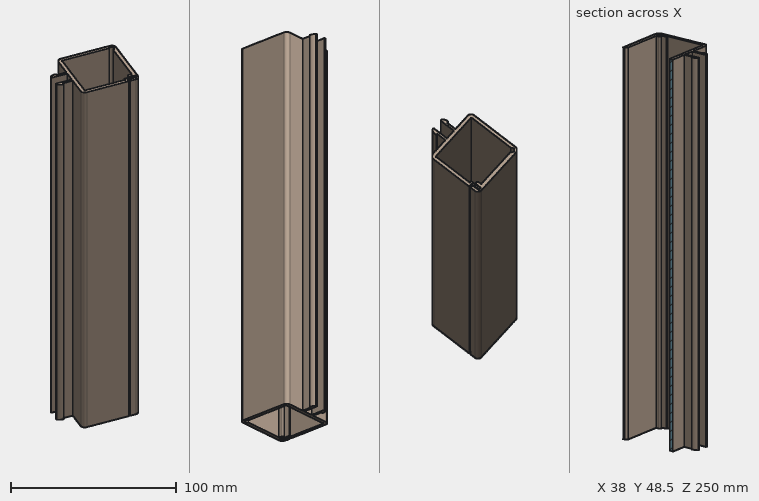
import cadquery as cq

length = 250.0
width = 38.0
fin_length = 10.5
half = width / 2
front_y = -half

side_wall = 2.2
front_wall = 2.5
lid_wall = 2.8
corner_radius = 2.8

hinge_wall = 1.5
hinge_relief_radius = 1.5

clearance = 0.38
tongue_thickness = 1.2
tongue_root_y = 10.2
tongue_top_y = 17.2
lower_wall_top_y = 11.8
lid_arm_end_y = 12.8
catch_width = 2.0
catch_end_y = 13.2
catch_tip_radius = 0.88

fin_inner_x = 3.2
fin_thickness = 1.5
barb_projection = 1.0
barb_start = 6.5
barb_setback = 0.2
fin_tip_width = 1.2

inner_x = half - side_wall
inner_front_y = front_y + front_wall
inner_back_y = half - lid_wall
tongue_inner_x = inner_x - tongue_thickness


def block(x_min, x_max, y_min, y_max):
    """Full-length bar between the given X and Y limits."""
    return (
        cq.Workplane("XY")
        .rect(x_max - x_min, y_max - y_min)
        .extrude(length)
        .translate(((x_min + x_max) / 2, (y_min + y_max) / 2, 0))
    )


def make_tube():
    outer = block(-half, half, front_y, half).edges("|Z").fillet(corner_radius)
    cavity = block(-inner_x, inner_x, inner_front_y, inner_back_y)
    relief_offset = half - hinge_wall - hinge_relief_radius
    hinge_relief = (
        cq.Workplane("XY")
        .center(-relief_offset, relief_offset)
        .circle(hinge_relief_radius)
        .extrude(length)
    )
    return outer.cut(cavity).cut(hinge_relief)


def add_snap_closure(tube):
    slot_left_x = tongue_inner_x - clearance
    slot_right_x = inner_x + clearance
    tongue_slot = block(slot_left_x, slot_right_x, lower_wall_top_y, tongue_top_y + clearance)
    wall_gap = block(inner_x, half, lower_wall_top_y, lid_arm_end_y)
    tongue = block(tongue_inner_x, inner_x, tongue_root_y, tongue_top_y)
    tongue_root = block(tongue_inner_x, half - side_wall / 2, tongue_root_y, lower_wall_top_y)
    catch = (
        block(slot_left_x - catch_width, slot_left_x, catch_end_y, half - lid_wall / 2)
        .edges("|Z and <Y")
        .fillet(catch_tip_radius)
    )
    return tube.cut(tongue_slot).cut(wall_gap).union(tongue).union(tongue_root).union(catch)


def make_fin():
    outer_x = fin_inner_x + fin_thickness
    barb_x = outer_x + barb_projection
    root_y = front_y + front_wall / 2
    return (
        cq.Workplane("XY")
        .polyline([
            (fin_inner_x, root_y),
            (outer_x, root_y),
            (outer_x, front_y - barb_start),
            (barb_x, front_y - barb_start),
        ])
        .threePointArc(
            (barb_x - barb_setback, front_y - (barb_start + fin_length) / 2),
            (fin_inner_x + fin_tip_width, front_y - fin_length),
        )
        .lineTo(fin_inner_x, front_y - fin_length)
        .close()
        .extrude(length)
    )


fin = make_fin()
result = add_snap_closure(make_tube()).union(fin).union(fin.mirror("YZ"))
result = result.translate((0, fin_length / 2, 0))